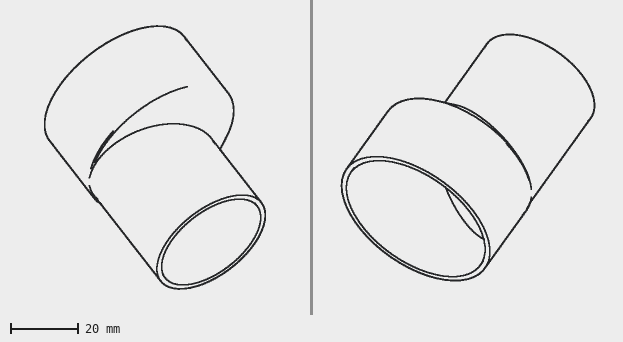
import cadquery as cq
import math

overall_length = 63.5
large_diameter = 50.8
small_diameter = 38.1
wall = 1.65

outer_bend_start = 25.1
outer_bend_radius = 0.65
outer_cone_angle = 51.0

inner_bend_start = 7.75
inner_bend_radius = 6.1
inner_cone_angle = 31.0

large_radius = large_diameter / 2
small_radius = small_diameter / 2
small_axis_y = small_radius - large_radius
cone_tip_radius = small_radius / 2


def large_body(radius, bend_start, bend_radius, cone_angle):
    """Cylinder from the -X end, then a tangent bend into a cone, all about the X axis."""
    slope = math.radians(cone_angle)

    def bend_point(angle):
        x = bend_start + bend_radius * math.sin(angle)
        r = radius - bend_radius * (1 - math.cos(angle))
        return x, r

    bend_end_x, bend_end_r = bend_point(slope)
    cone_end_x = bend_end_x + (bend_end_r - cone_tip_radius) / math.tan(slope)
    profile = (
        cq.Workplane("XY")
        .lineTo(0, radius)
        .lineTo(bend_start, radius)
        .threePointArc(bend_point(slope / 2), (bend_end_x, bend_end_r))
        .lineTo(cone_end_x, cone_tip_radius)
        .lineTo(cone_end_x, 0)
        .close()
    )
    return profile.revolve(360, (0, 0, 0), (1, 0, 0))


def small_body(radius, start_x):
    """Cylinder on the offset axis, from start_x to the +X end."""
    return (
        cq.Workplane("YZ", origin=(start_x, small_axis_y, 0))
        .circle(radius)
        .extrude(overall_length - start_x)
    )


outside = large_body(
    large_radius, outer_bend_start, outer_bend_radius, outer_cone_angle
).union(small_body(small_radius, outer_bend_start))

bore = large_body(
    large_radius - wall, inner_bend_start, inner_bend_radius, inner_cone_angle
).union(small_body(small_radius - wall, inner_bend_start))

result = outside.cut(bore)